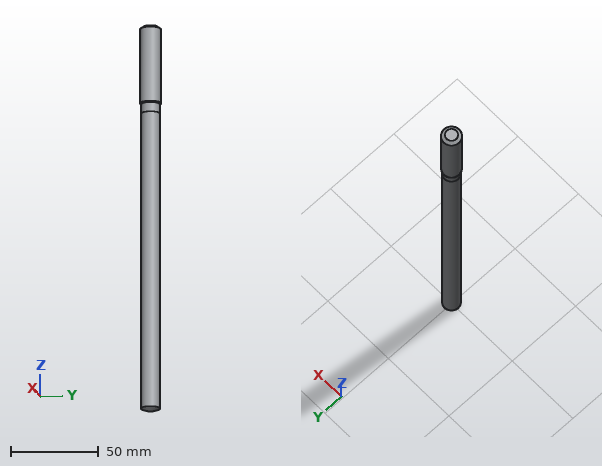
import cadquery as cq
import math

overall_length = 228.0
shank_bottom = 182.0
neck_bottom = 176.5

shank_diameter = 12.0
body_diameter = 11.0
top_face_diameter = 7.5

top_chamfer_height = 1.5
shoulder_height = 0.7
point_angle = 140.0

shank_radius = shank_diameter / 2
body_radius = body_diameter / 2
top_face_radius = top_face_diameter / 2
point_height = body_radius / math.tan(math.radians(point_angle / 2))


def revolve_profile(points):
    """Revolve a closed half profile of (radius, height) points about Z."""
    return cq.Workplane("XZ").polyline(points).close().revolve(360, (0, 0), (0, 1))


def make_shank():
    """Clamping shank with a chamfered top and a conical shoulder down to a short neck."""
    return revolve_profile([
        (0, neck_bottom),
        (body_radius, neck_bottom),
        (body_radius, shank_bottom),
        (shank_radius, shank_bottom + shoulder_height),
        (shank_radius, overall_length - top_chamfer_height),
        (top_face_radius, overall_length),
        (0, overall_length),
    ])


def make_drill():
    """Cylindrical drill body with a conical point, flush with the neck."""
    return revolve_profile([
        (0, 0),
        (body_radius, point_height),
        (body_radius, neck_bottom),
        (0, neck_bottom),
    ])


shank = make_shank()
drill = make_drill()

result = cq.Compound.makeCompound([shank.val(), drill.val()])